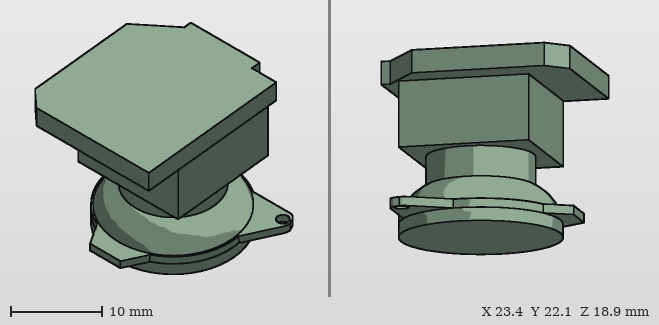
import cadquery as cq
import math

base_top = 1.0
ring_bottom = 1.5
ring_top = 2.5
dome_top = 5.6
neck_top = 9.0
block_top = 16.37
total_height = 18.94

base_radius = 9.0
neck_radius = 6.0
block_side = 14.7

ear_reach_x = 11.7
ear_back_y = 7.43
ear_hole_x = 10.61
ear_hole_y = 6.13
ear_hole_diameter = 1.5
ear_back_arc_x = 10.47
ear_back_arc_radius = 1.0
ear_side_arc_radius = 2.0
ear_slant_angle = math.radians(30)
ear_root_y = 0.75

tab_front_y = -11.08
tab_front_half_width = 2.25
tab_root_half_width = 3.9

plate_left = -11.18
plate_right = 7.65
plate_front = -12.44
plate_back = 9.65
plate_shoulder_y = 8.37
tongue_left = -6.13
tongue_right = 4.05
front_chamfer = 2.3
slant_back_y = 8.6
slant_front_y = 4.82


def circle_offset(radius, distance):
    """Other coordinate of a circle point that lies at the given distance from an axis."""
    return math.sqrt(radius**2 - distance**2)


def make_lens_body():
    """Base, bulging dome and neck; the dome arc leaves the base edge vertically."""
    dome_rise = dome_top - base_top
    dome_inset = base_radius - neck_radius
    dome_radius = (dome_inset**2 + dome_rise**2) / (2 * dome_inset)
    dome_mid_z = base_top + dome_rise / 2
    dome_mid_x = base_radius - dome_radius + circle_offset(dome_radius, dome_rise / 2)
    return (
        cq.Workplane("XZ")
        .lineTo(base_radius, 0)
        .lineTo(base_radius, base_top)
        .threePointArc((dome_mid_x, dome_mid_z), (neck_radius, dome_top))
        .lineTo(neck_radius, neck_top)
        .lineTo(0, neck_top)
        .close()
        .revolve(360, (0, 0, 0), (0, 1, 0))
    )


def make_ear(side):
    """Ear with two arcs joined by a short flat; side is +1 for +X and -1 for -X."""
    side_arc_center = (ear_reach_x - ear_side_arc_radius, ear_hole_y)
    back_arc_center = (ear_back_arc_x, ear_back_y - ear_back_arc_radius)

    def arc_point(center, radius, angle):
        return (
            side * (center[0] + radius * math.cos(angle)),
            center[1] + radius * math.sin(angle),
        )

    back_arc_middle = (ear_slant_angle + math.pi / 2) / 2
    root_x = circle_offset(base_radius, ear_root_y)
    return (
        cq.Workplane("XY", origin=(0, 0, ring_bottom))
        .lineTo(side * root_x, ear_root_y)
        .lineTo(*arc_point(side_arc_center, ear_side_arc_radius, -ear_slant_angle))
        .threePointArc(
            arc_point(side_arc_center, ear_side_arc_radius, -ear_slant_angle / 2),
            (side * ear_reach_x, ear_hole_y),
        )
        .lineTo(*arc_point(back_arc_center, ear_back_arc_radius, ear_slant_angle))
        .threePointArc(
            arc_point(back_arc_center, ear_back_arc_radius, back_arc_middle),
            (side * ear_back_arc_x, ear_back_y),
        )
        .lineTo(0, ear_back_y)
        .close()
        .extrude(ring_top - ring_bottom)
    )


def make_mounting_ring():
    """Flat ring around the dome with two drilled ears and a tapered front tab."""
    thickness = ring_top - ring_bottom
    workplane = cq.Workplane("XY", origin=(0, 0, ring_bottom))
    tab_root_y = -circle_offset(base_radius, tab_root_half_width)
    tab_points = [
        (0, 0),
        (-tab_root_half_width, tab_root_y),
        (-tab_front_half_width, tab_front_y),
        (tab_front_half_width, tab_front_y),
        (tab_root_half_width, tab_root_y),
    ]
    tab = workplane.polyline(tab_points).close().extrude(thickness)
    ring = workplane.circle(base_radius).extrude(thickness).union(tab)
    for side in (-1, 1):
        ring = ring.union(make_ear(side))
    holes = (
        workplane.pushPoints([(-ear_hole_x, ear_hole_y), (ear_hole_x, ear_hole_y)])
        .circle(ear_hole_diameter / 2)
        .extrude(thickness)
    )
    return ring.cut(holes)


def make_block():
    """Square block between the neck and the top plate."""
    return (
        cq.Workplane("XY", origin=(0, 0, neck_top))
        .rect(block_side, block_side)
        .extrude(block_top - neck_top)
    )


def make_top_plate():
    """Top plate with a back tongue, a slanted back corner and a chamfered front corner."""
    outline = [
        (plate_left + front_chamfer, plate_front),
        (plate_right, plate_front),
        (plate_right, plate_shoulder_y),
        (tongue_right, plate_shoulder_y),
        (tongue_right, plate_back),
        (tongue_left, plate_back),
        (tongue_left, slant_back_y),
        (plate_left, slant_front_y),
        (plate_left, plate_front + front_chamfer),
    ]
    return (
        cq.Workplane("XY", origin=(0, 0, block_top))
        .polyline(outline)
        .close()
        .extrude(total_height - block_top)
    )


result = make_lens_body().union(make_mounting_ring()).union(make_block()).union(make_top_plate())